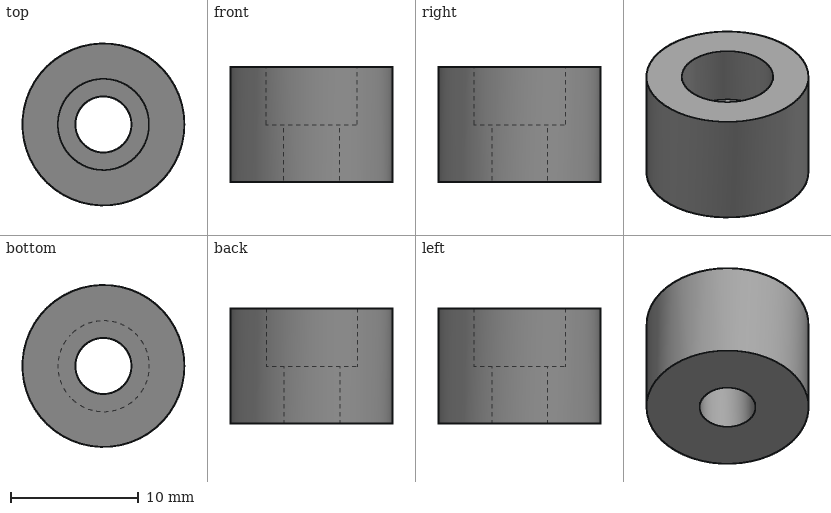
import cadquery as cq

outer_diameter = 12.69
height = 9.02
bore_diameter = 4.37
counterbore_diameter = 7.14
counterbore_depth = 4.55


def spacer_body():
    """Plain cylinder standing on the XY plane."""
    return cq.Workplane("XY").circle(outer_diameter / 2).extrude(height)


def cut_stepped_bore(body):
    """Through bore with a counterbore opening at the top face."""
    return (
        body.faces(">Z")
        .workplane()
        .cboreHole(bore_diameter, counterbore_diameter, counterbore_depth)
    )


result = cut_stepped_bore(spacer_body())